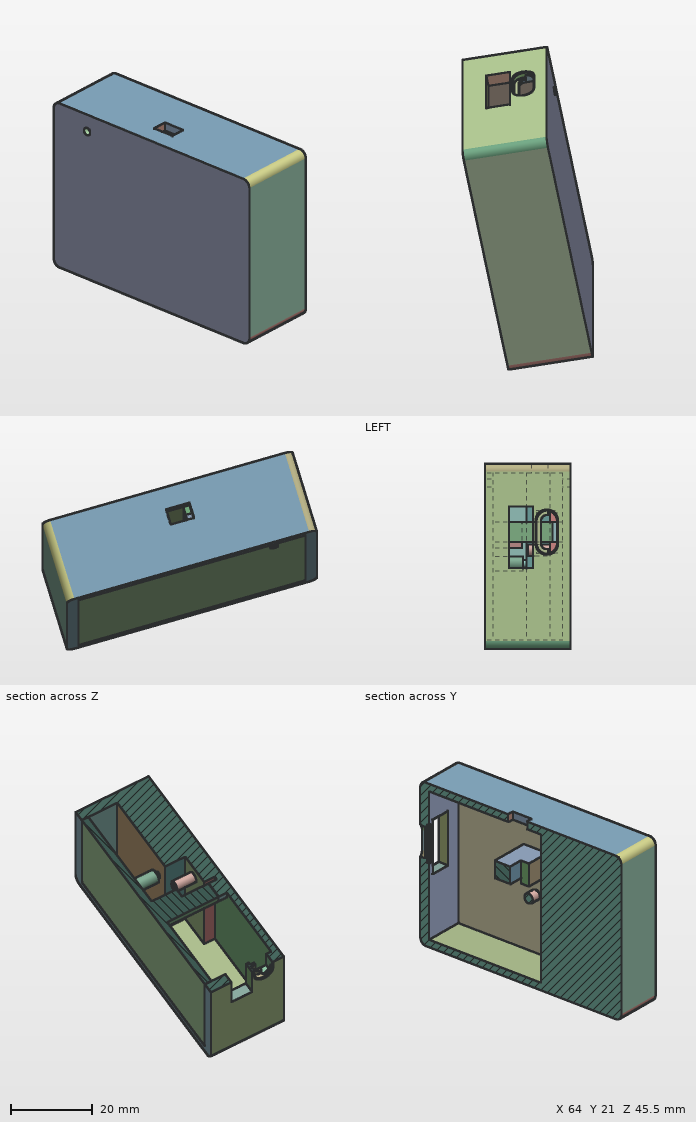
import cadquery as cq


LENGTH = 64.0
DEPTH = 21.0
HEIGHT = 45.5
CORNER_RADIUS = 2.0
SIDE_WALL = 3.0
TOP_WALL = 2.25
FRONT_WALL = 2.0
LID_THICKNESS = 2.0

LEFT = -LENGTH / 2
FRONT = -DEPTH / 2
BACK = DEPTH / 2
CAVITY_LENGTH = LENGTH - 2 * SIDE_WALL
CAVITY_HEIGHT = HEIGHT - 2 * TOP_WALL
FLOOR_Y = FRONT + FRONT_WALL
LID_Y = BACK - LID_THICKNESS
CAVITY_RIGHT = CAVITY_LENGTH / 2

SIGHT_HOLE_DIAMETER = 2.0
SIGHT_HOLE_X = -21.05
SIGHT_HOLE_Z = 18.05

SIDE_WINDOW_Y = (-1.35, 4.55)
SIDE_WINDOW_Z = (-2.9, 12.2)

CONNECTOR_EDGE_Y = -5.0
TOP_WINDOW_X = (-4.0, 2.0)
TOP_WINDOW_Y = (CONNECTOR_EDGE_Y, -0.95)

SLOT_Y = -4.7
SLOT_Z = 5.95
SLOT_CENTER_DISTANCE = 5.6
SLOT_WIDTH = 5.0
SLOT_RECESS_DEPTH = 1.55
SLOT_CHAMFER = 0.25
INNER_SLOT_WIDTH = 2.8
INNER_SLOT_END_DEPTH = 2.4
RELIEF_START_DEPTH = 1.0

PLATFORM_LEFT = -2.55
PLATFORM_Y = -5.45
SHELF_LEFT = 6.4
SHELF_Y = 0.3

STANDOFF_X = 2.5
STANDOFF_Z = 1.5
STANDOFF_DIAMETER = 2.8
STANDOFF_END_Y = 0.0
STANDOFF_PIN_DIAMETER = 2.0

COLUMN_SIDE = 4.9
COLUMN_RIGHT = -3.3
COLUMN_END_Y = -6.1
COLUMN_X = (COLUMN_RIGHT - COLUMN_SIDE, COLUMN_RIGHT)
COLUMN_Z = (SLOT_Z - COLUMN_SIDE / 2, SLOT_Z + COLUMN_SIDE / 2)

SHOULDER_LENGTH = 2.55
SHOULDER_END_Y = 1.4
SHOULDER_BOTTOM = 2.05

BOSS_X = 9.6
BOSS_Z = -1.8
BOSS_DIAMETER = 3.5
BOSS_END_Y = 1.15
BOSS_PIN_DIAMETER = 1.8


def block(x_range, y_range, z_range):
    """Box between the given limits."""
    sizes = [high - low for low, high in (x_range, y_range, z_range)]
    corner = (x_range[0], y_range[0], z_range[0])
    return cq.Workplane("XY").box(*sizes, centered=False).translate(corner)


def rod(diameter, x, z, y_range):
    """Cylinder along Y between the given limits."""
    plane = cq.Workplane("XZ", origin=(x, y_range[0], z))
    return plane.circle(diameter / 2).extrude(y_range[0] - y_range[1])


def slot_prism(width, x_start, x_end, taper=0):
    """Upright stadium prism along X, centred on the connector; a taper narrows it towards x_end."""
    plane = cq.Workplane("YZ", origin=(x_start, SLOT_Y, SLOT_Z))
    outline = plane.slot2D(SLOT_CENTER_DISTANCE + width, width, 90)
    return outline.extrude(x_end - x_start, taper=taper)


def connector_opening():
    """Chamfered recess, inner slot, and the pocket and relief behind them."""
    recess_x = LEFT + SLOT_RECESS_DEPTH
    pocket_x = LEFT + INNER_SLOT_END_DEPTH
    half_length = (SLOT_CENTER_DISTANCE + SLOT_WIDTH) / 2
    pocket_y = (SLOT_Y - SLOT_WIDTH / 2, SLOT_Y + SLOT_WIDTH / 2)
    pocket_z = (SLOT_Z - half_length, SLOT_Z + half_length)
    rim = slot_prism(SLOT_WIDTH + 2 * SLOT_CHAMFER, LEFT, LEFT + SLOT_CHAMFER, taper=45)
    recess = slot_prism(SLOT_WIDTH, LEFT, recess_x)
    inner_slot = slot_prism(INNER_SLOT_WIDTH, recess_x, pocket_x)
    pocket = block((pocket_x, -CAVITY_RIGHT), pocket_y, pocket_z)
    relief = block((LEFT + RELIEF_START_DEPTH, pocket_x), (pocket_y[0], CONNECTOR_EDGE_Y), pocket_z)
    return recess.union(rim).union(inner_slot).union(pocket).union(relief)


def make_case():
    """Box open at the back, with its stepped floor, standoff, column pad and openings."""
    cavity_z = (-CAVITY_HEIGHT / 2, CAVITY_HEIGHT / 2)
    case = cq.Workplane("XY").box(LENGTH, DEPTH, HEIGHT).edges("|Y").fillet(CORNER_RADIUS)
    case = case.cut(block((-CAVITY_RIGHT, CAVITY_RIGHT), (FLOOR_Y, BACK), cavity_z))
    case = case.union(block((PLATFORM_LEFT, CAVITY_RIGHT), (FLOOR_Y, PLATFORM_Y), cavity_z))
    case = case.union(block((SHELF_LEFT, CAVITY_RIGHT), (PLATFORM_Y, SHELF_Y), cavity_z))
    case = case.union(block(COLUMN_X, (FLOOR_Y, COLUMN_END_Y), COLUMN_Z))
    case = case.union(rod(STANDOFF_DIAMETER, STANDOFF_X, STANDOFF_Z, (PLATFORM_Y, STANDOFF_END_Y)))
    case = case.union(rod(STANDOFF_PIN_DIAMETER, STANDOFF_X, STANDOFF_Z, (STANDOFF_END_Y, SHELF_Y)))
    case = case.cut(block((LEFT, -CAVITY_RIGHT), SIDE_WINDOW_Y, SIDE_WINDOW_Z))
    case = case.cut(block(TOP_WINDOW_X, TOP_WINDOW_Y, (CAVITY_HEIGHT / 2, HEIGHT / 2)))
    case = case.cut(connector_opening())
    return case.cut(rod(SIGHT_HOLE_DIAMETER, SIGHT_HOLE_X, SIGHT_HOLE_Z, (FRONT, FLOOR_Y)))


def make_lid():
    """Plate that closes the back of the case, with its column, shoulder and boss."""
    shoulder_x = (COLUMN_RIGHT, COLUMN_RIGHT + SHOULDER_LENGTH)
    shoulder_z = (SHOULDER_BOTTOM, COLUMN_Z[1])
    lid = cq.Workplane("XY").box(CAVITY_LENGTH, LID_THICKNESS, CAVITY_HEIGHT)
    lid = lid.translate((0, BACK - LID_THICKNESS / 2, 0))
    lid = lid.union(block(COLUMN_X, (COLUMN_END_Y, LID_Y), COLUMN_Z))
    lid = lid.union(block(shoulder_x, (SHOULDER_END_Y, LID_Y), shoulder_z))
    lid = lid.union(rod(BOSS_DIAMETER, BOSS_X, BOSS_Z, (BOSS_END_Y, LID_Y)))
    lid = lid.union(rod(BOSS_PIN_DIAMETER, BOSS_X, BOSS_Z, (SHELF_Y, BOSS_END_Y)))
    return lid.cut(rod(SIGHT_HOLE_DIAMETER, SIGHT_HOLE_X, SIGHT_HOLE_Z, (LID_Y, BACK)))


case = make_case()
lid = make_lid()
result = cq.Compound.makeCompound([case.val(), lid.val()])